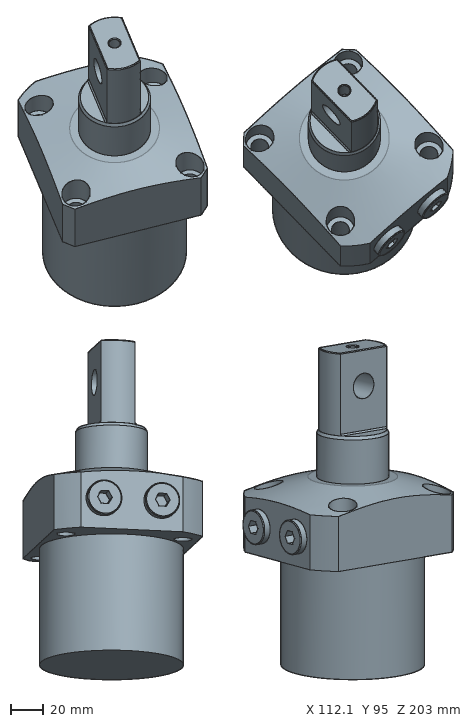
import cadquery as cq
import math

BARREL_DIAMETER = 90.0
FLANGE_BOTTOM = 74.0
FLANGE_TOP = 120.0
FLANGE_HALF_WIDTH = 47.5
PORT_FACE_X = -59.7
FLANGE_TURNED_RADIUS = 68.0
CORNER_CHAMFER = 6.0
LAND_RADIUS = 28.0
CONE_ANGLE = 15.0

SCREW_OFFSET = 37.4
SCREW_HOLE_DIAMETER = 11.2
COUNTERBORE_DIAMETER = 17.7
COUNTERBORE_FLOOR = 97.5

ROD_RADIUS = 22.5
ROD_SHOULDER = 150.2
SHOULDER_CHAMFER_WIDTH = 1.2
SHOULDER_CHAMFER_HEIGHT = 2.0
TANG_RADIUS = 21.5
TANG_THICKNESS = 22.0
TANG_TOP = 203.0
TANG_TOP_CHAMFER = 0.6
TANG_ROOT_SIZE = 1.0
CROSS_HOLE_DIAMETER = 16.2
CROSS_HOLE_HEIGHT = 179.7
END_HOLE_DIAMETER = 7.0
END_HOLE_CHAMFER = 0.6

PLUG_SPACING = 37.0
PLUG_HEIGHT = 93.0
PLUG_HEAD_DIAMETER = 22.0
PLUG_HEAD_THICKNESS = 4.9
PLUG_HEAD_CHAMFER = 0.6
PLUG_SHANK_DIAMETER = 13.2
PLUG_SHANK_LENGTH = 8.1
SOCKET_ACROSS_FLATS = 8.1
SOCKET_DEPTH = 8.1

PLUG_CENTRES_Y = [-PLUG_SPACING / 2, PLUG_SPACING / 2]


def make_flange():
    """Rectangular flange, limited by a turned profile with a conical top."""
    length = FLANGE_HALF_WIDTH - PORT_FACE_X
    block = (
        cq.Workplane("XY", origin=(0, 0, FLANGE_BOTTOM))
        .center((FLANGE_HALF_WIDTH + PORT_FACE_X) / 2, 0)
        .rect(length, 2 * FLANGE_HALF_WIDTH)
        .extrude(FLANGE_TOP - FLANGE_BOTTOM)
        .edges("|Z and >X")
        .chamfer(CORNER_CHAMFER)
    )
    cone_drop = (FLANGE_TURNED_RADIUS - LAND_RADIUS) * math.tan(math.radians(CONE_ANGLE))
    turned = (
        cq.Workplane("XZ")
        .moveTo(0, FLANGE_BOTTOM)
        .lineTo(FLANGE_TURNED_RADIUS, FLANGE_BOTTOM)
        .lineTo(FLANGE_TURNED_RADIUS, FLANGE_TOP - cone_drop)
        .lineTo(LAND_RADIUS, FLANGE_TOP)
        .lineTo(0, FLANGE_TOP)
        .close()
        .revolve(360, (0, 0), (0, 1))
    )
    return block.intersect(turned)


def screw_cylinders(diameter, bottom):
    """Four vertical cylinders at the screw positions, from bottom to the flange top."""
    return (
        cq.Workplane("XY", origin=(0, 0, bottom))
        .rect(2 * SCREW_OFFSET, 2 * SCREW_OFFSET, forConstruction=True)
        .vertices()
        .circle(diameter / 2)
        .extrude(FLANGE_TOP - bottom)
    )


def plug_shank(centre_y):
    """Cylinder that fills one port, starting at the port face."""
    return (
        cq.Workplane("YZ", origin=(PORT_FACE_X, centre_y, PLUG_HEIGHT))
        .circle(PLUG_SHANK_DIAMETER / 2)
        .extrude(PLUG_SHANK_LENGTH)
    )


def make_housing():
    barrel = cq.Workplane("XY").circle(BARREL_DIAMETER / 2).extrude(FLANGE_BOTTOM)
    housing = barrel.union(make_flange())
    housing = housing.cut(screw_cylinders(SCREW_HOLE_DIAMETER, FLANGE_BOTTOM))
    housing = housing.cut(screw_cylinders(COUNTERBORE_DIAMETER, COUNTERBORE_FLOOR))
    for centre_y in PLUG_CENTRES_Y:
        housing = housing.cut(plug_shank(centre_y))
    return housing


def make_tang():
    """Round bar with two flats facing -Y and +Y, widened by a slope at their root."""
    bar = (
        cq.Workplane("XY", origin=(0, 0, ROD_SHOULDER))
        .circle(TANG_RADIUS)
        .extrude(TANG_TOP - ROD_SHOULDER)
    )
    half = TANG_THICKNESS / 2
    side_profile = (
        cq.Workplane("YZ")
        .moveTo(-half - TANG_ROOT_SIZE, ROD_SHOULDER)
        .lineTo(half + TANG_ROOT_SIZE, ROD_SHOULDER)
        .lineTo(half, ROD_SHOULDER + TANG_ROOT_SIZE)
        .lineTo(half, TANG_TOP)
        .lineTo(-half, TANG_TOP)
        .lineTo(-half, ROD_SHOULDER + TANG_ROOT_SIZE)
        .close()
        .extrude(TANG_RADIUS, both=True)
    )
    return bar.intersect(side_profile).faces(">Z").chamfer(TANG_TOP_CHAMFER)


def make_rod():
    """Rod standing on the flange top, with a drilled tang."""
    rod = (
        cq.Workplane("XY", origin=(0, 0, FLANGE_TOP))
        .circle(ROD_RADIUS)
        .extrude(ROD_SHOULDER - FLANGE_TOP)
        .faces(">Z")
        .chamfer(SHOULDER_CHAMFER_HEIGHT, SHOULDER_CHAMFER_WIDTH)
        .union(make_tang())
    )
    cross_hole = (
        cq.Workplane("XZ", origin=(0, TANG_THICKNESS / 2, CROSS_HOLE_HEIGHT))
        .circle(CROSS_HOLE_DIAMETER / 2)
        .extrude(TANG_THICKNESS)
    )
    end_hole = (
        cq.Workplane("XY", origin=(0, 0, CROSS_HOLE_HEIGHT))
        .circle(END_HOLE_DIAMETER / 2)
        .extrude(TANG_TOP - CROSS_HOLE_HEIGHT)
    )
    rim = (
        cq.Workplane("XY", origin=(0, 0, TANG_TOP))
        .circle(END_HOLE_DIAMETER / 2 + END_HOLE_CHAMFER)
        .workplane(offset=-END_HOLE_CHAMFER)
        .circle(END_HOLE_DIAMETER / 2)
        .loft()
    )
    return rod.cut(cross_hole).cut(end_hole).cut(rim)


def make_plug(centre_y):
    """Hexagon-socket plug whose head rests on the port face."""
    head_face_x = PORT_FACE_X - PLUG_HEAD_THICKNESS
    outer_plane = cq.Workplane("YZ", origin=(head_face_x, centre_y, PLUG_HEIGHT))
    head = (
        outer_plane.circle(PLUG_HEAD_DIAMETER / 2)
        .extrude(PLUG_HEAD_THICKNESS)
        .faces("<X")
        .chamfer(PLUG_HEAD_CHAMFER)
    )
    socket = (
        outer_plane.transformed(rotate=(0, 0, 90))
        .polygon(6, SOCKET_ACROSS_FLATS, circumscribed=True)
        .extrude(SOCKET_DEPTH)
    )
    return head.union(plug_shank(centre_y)).cut(socket)


housing = make_housing()
rod = make_rod()
plugs = [make_plug(centre_y) for centre_y in PLUG_CENTRES_Y]

result = cq.Compound.makeCompound([housing.val(), rod.val(), *[plug.val() for plug in plugs]])